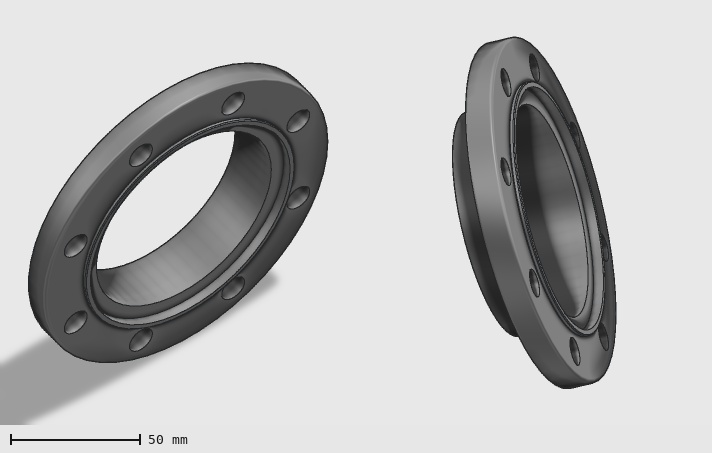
import cadquery as cq

flange_diameter = 137.0
flange_thickness = 11.5
flange_rim_fillet = 1.4
neck_diameter = 88.9
neck_length = 14.0
neck_fillet = 4.0
bore_diameter = 84.3
face_diameter = 100.8
face_height = 2.0
face_chamfer = 0.4
recess_diameter = 96.2
recess_depth = 4.1
bolt_hole_diameter = 11.0
bolt_circle_diameter = 116.0
bolt_count = 8

total_length = neck_length + flange_thickness + face_height
flange_back = total_length / 2 - face_height
flange_front = flange_back - flange_thickness
neck_end = -total_length / 2


def disc(start_x, diameter, length):
    """Solid disc on the X axis, growing towards +X."""
    return cq.Workplane("YZ", origin=(start_x, 0, 0)).circle(diameter / 2).extrude(length)


flange = disc(flange_front, flange_diameter, flange_thickness).edges().fillet(flange_rim_fillet)

neck_radius = neck_diameter / 2
neck_root_radius = neck_radius + neck_fillet
fillet_start = flange_front - neck_fillet
fillet_mid = (
    flange_front - neck_fillet * (1 - 0.5**0.5),
    neck_root_radius - neck_fillet * 0.5**0.5,
)
neck = (
    cq.Workplane("XY")
    .moveTo(neck_end, 0)
    .lineTo(neck_end, neck_radius)
    .lineTo(fillet_start, neck_radius)
    .threePointArc(fillet_mid, (flange_front, neck_root_radius))
    .lineTo(flange_front, 0)
    .close()
    .revolve(360, (0, 0, 0), (1, 0, 0))
)

raised_face = disc(flange_back, face_diameter, face_height).edges().chamfer(face_chamfer)

bore = disc(neck_end, bore_diameter, total_length)
recess = disc(total_length / 2 - recess_depth, recess_diameter, recess_depth)
bolt_holes = (
    cq.Workplane("YZ", origin=(flange_front, 0, 0))
    .polarArray(bolt_circle_diameter / 2, 180 / bolt_count, 360, bolt_count)
    .circle(bolt_hole_diameter / 2)
    .extrude(flange_thickness)
)

result = flange.union(neck).union(raised_face).cut(bore).cut(recess).cut(bolt_holes)